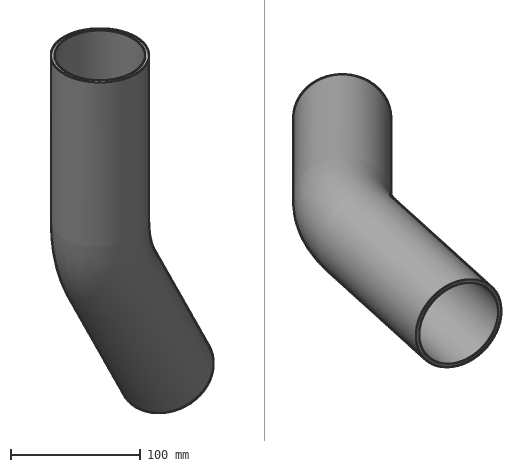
import cadquery as cq
import math

total_height = 360.5
outer_diameter = 76.0
inner_diameter = 70.0
bend_angle = 30.0
bend_radius = 1.5 * outer_diameter

angle = math.radians(bend_angle)
bend_height = (bend_radius + outer_diameter / 2) * math.sin(angle)
leg_length = (total_height - bend_height) / (1 + math.cos(angle))


def centreline_point(turn):
    """Point (Y, Z) on the bend centreline after turning by the given angle."""
    return (bend_radius * (1 - math.cos(turn)), -bend_radius * math.sin(turn))


bend_middle = centreline_point(angle / 2)
bend_end = centreline_point(angle)
lower_end = (
    bend_end[0] + leg_length * math.sin(angle),
    bend_end[1] - leg_length * math.cos(angle),
)
centreline = (
    cq.Workplane("YZ")
    .moveTo(0, leg_length)
    .lineTo(0, 0)
    .threePointArc(bend_middle, bend_end)
    .lineTo(*lower_end)
)

result = (
    cq.Workplane("XY", origin=(0, 0, leg_length))
    .circle(outer_diameter / 2)
    .circle(inner_diameter / 2)
    .sweep(centreline)
)